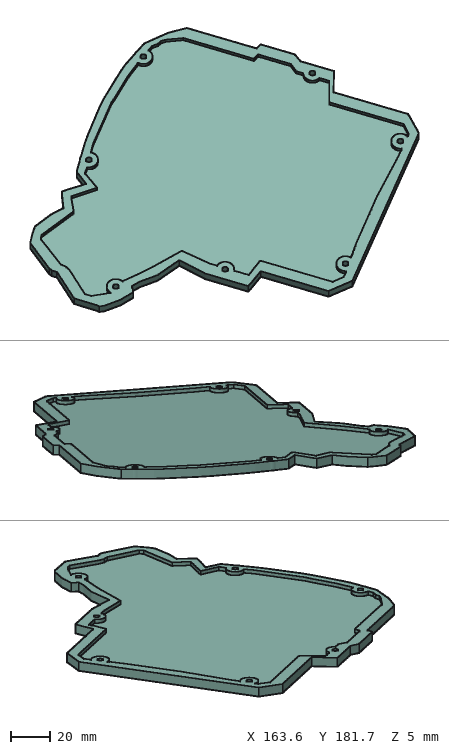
import cadquery as cq

LENGTH_X = 163.59
LENGTH_Y = 181.71
THICKNESS = 5.0
POCKET_DEPTH = 2.0
FLOOR_THICKNESS = THICKNESS - POCKET_DEPTH

RIGHT = LENGTH_X / 2
LEFT = -RIGHT
REAR = LENGTH_Y / 2
FRONT = -REAR

REAR_SHOULDER = 87.8
REAR_NOTCH = 75.3
FRONT_NOTCH = -42.4
FRONT_SHOULDER = -53.3

HOLE_DIAMETER = 3.0
BOSS_DIAMETER = 9.3

OUTLINE = [
    (-51.2, REAR_SHOULDER),
    (-59.1, 81.8),
    (-68.3, 71.4),
    (-72.9, 55.6),
    (-73.8, 50.1),
    (-75.9, 32.6),
    (-76.2, 26.5),
    (-75.9, 7.9),
    (-75.6, 2.5),
    (-73.5, -15.6),
    (-66.3, -21.1),
    (-74.0, -27.6),
    (-76.3, -29.8),
    (-72.0, -39.1),
    (-76.7, -45.2),
    (LEFT, -55.0),
    (-81.5, -59.4),
    (-80.6, -65.4),
    (-65.9, -77.3),
    (-64.3, -77.9),
    (-61.6, -77.9),
    (-47.9, -90.4),
    (-35.3, -90.6),
    (-34.2, FRONT),
    (-32.0, -89.7),
    (-25.3, -83.2),
    (-20.9, -76.6),
    (-22.8, -73.3),
    (-20.3, -69.6),
    (-12.9, -62.4),
    (-5.7, -49.9),
    (9.6, FRONT_SHOULDER),
    (32.7, FRONT_SHOULDER),
    (33.7, -49.8),
    (35.5, FRONT_NOTCH),
    (72.1, FRONT_NOTCH),
    (81.3, -32.3),
    (RIGHT, 66.0),
    (72.7, REAR_NOTCH),
    (32.3, REAR_NOTCH),
    (28.2, REAR_SHOULDER),
    (10.1, REAR_SHOULDER),
    (5.9, REAR),
    (-12.5, REAR),
    (-13.6, REAR_SHOULDER),
]

POCKET_OUTLINE = [
    (-50.7, 81.3),
    (-58.6, 77.4),
    (-60.8, 75.6),
    (-61.6, 73.5),
    (-63.9, 71.3),
    (-64.8, 68.2),
    (-67.2, 58.7),
    (-68.0, 54.9),
    (-69.3, 48.8),
    (-70.9, 34.3),
    (-71.5, 31.2),
    (-71.5, 3.3),
    (-70.8, -1.6),
    (-69.3, -11.4),
    (-69.3, -15.0),
    (-60.3, -21.5),
    (-70.8, -31.0),
    (-66.4, -39.4),
    (-76.8, -58.8),
    (-76.5, -61.2),
    (-61.4, -72.8),
    (-58.3, -73.3),
    (-55.7, -74.9),
    (-43.6, -86.1),
    (-40.2, -86.1),
    (-31.6, -81.0),
    (-28.2, -71.9),
    (-22.1, -64.9),
    (-17.0, -58.5),
    (-6.5, -44.0),
    (9.6, -46.7),
    (30.6, -46.7),
    (33.0, -36.3),
    (72.1, -36.3),
    (76.3, -31.6),
    (76.3, -27.6),
    (75.7, -19.0),
    (75.2, -9.9),
    (75.2, 21.2),
    (76.9, 48.2),
    (77.1, 63.7),
    (72.7, 68.6),
    (32.5, 68.6),
    (28.1, 81.2),
    (10.1, 81.2),
    (6.0, 84.5),
    (-11.6, 84.5),
    (-12.7, 81.2),
]

SCREW_POSITIONS = [
    (-65.9, 63.5),
    (18.3, 82.8),
    (74.7, 58.0),
    (74.4, -23.4),
    (18.1, -47.4),
    (-70.1, -6.5),
    (-30.4, -76.3),
]


def prism(corners, height):
    """Straight-sided block with a polygonal footprint, standing on Z = 0."""
    return cq.Workplane("XY").polyline(corners).close().extrude(height)


def screw_cylinders(diameter):
    """One full-height cylinder at each screw position."""
    return cq.Workplane("XY").pushPoints(SCREW_POSITIONS).circle(diameter / 2).extrude(THICKNESS)


def hollow_tray():
    """Plate with the outer outline, recessed from above inside the rim."""
    pocket = prism(POCKET_OUTLINE, POCKET_DEPTH).translate((0, 0, FLOOR_THICKNESS))
    return prism(OUTLINE, THICKNESS).cut(pocket)


tray_with_bosses = hollow_tray().union(screw_cylinders(BOSS_DIAMETER))
result = tray_with_bosses.cut(screw_cylinders(HOLE_DIAMETER))